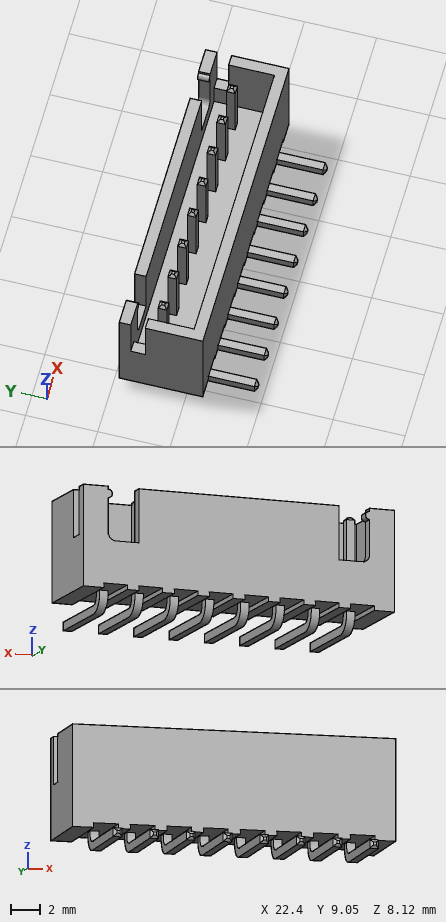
import cadquery as cq

LENGTH = 22.4
DEPTH = 5.8
HEIGHT = 7.0
LONG_WALL = 0.8
END_WALL = 0.78
FLOOR = 2.02
FRONT_Y = 0.0
BACK_Y = FRONT_Y + DEPTH
BACK_WALL_Y = BACK_Y - LONG_WALL

END_SLOT_WIDTH = 1.0
END_SLOT_DEPTH = 3.3

ARM_LENGTH = 1.8
WINDOW_WIDTH = 2.2
WINDOW_DEPTH = 3.72
WINDOW_FILLET = 0.54
BUMP_RADIUS = 0.3
BUMP_DROP = 0.5

PIN_COUNT = 8
PIN_SPAN = 17.79
PITCH = PIN_SPAN / (PIN_COUNT - 1)
PIN = 0.6
PIN_BACK_GAP = 2.46
PIN_Y = BACK_Y - PIN_BACK_GAP
PIN_TOP_DROP = 0.2
PIN_BOTTOM_Z = -1.12
PIN_END_Y = -3.25
BEND_INNER = 0.58
BEND_RADIUS = BEND_INNER + PIN / 2
TIP_CHAMFER = 0.2

NOTCH_WIDTH = 1.7
NOTCH_HEIGHT = 0.31

PIN_XS = [(i - (PIN_COUNT - 1) / 2) * PITCH for i in range(PIN_COUNT)]


def block(x_range, y_range, z_range):
    """Axis-aligned box between the given limits."""
    (x0, x1), (y0, y1), (z0, z1) = x_range, y_range, z_range
    return cq.Workplane("XY").box(x1 - x0, y1 - y0, z1 - z0, centered=False).translate((x0, y0, z0))


def make_shell():
    """Box with the cavity and the two end-wall slots removed."""
    half = LENGTH / 2
    inner = half - END_WALL
    body = block((-half, half), (FRONT_Y, BACK_Y), (0, HEIGHT))
    cavity = block((-inner, inner), (FRONT_Y + LONG_WALL, BACK_WALL_Y), (FLOOR, HEIGHT))
    slots = block(
        (-half, half),
        (BACK_WALL_Y - END_SLOT_WIDTH, BACK_WALL_Y),
        (HEIGHT - END_SLOT_DEPTH, HEIGHT),
    )
    return body.cut(cavity).cut(slots)


def make_left_window():
    """Back-wall opening beside the left arm, rounded at the foot of the arm."""
    arm_x = -LENGTH / 2 + ARM_LENGTH
    window = block(
        (arm_x, arm_x + WINDOW_WIDTH),
        (BACK_WALL_Y, BACK_Y),
        (HEIGHT - WINDOW_DEPTH, HEIGHT),
    )
    return window.edges("<X and <Z").fillet(WINDOW_FILLET)


def make_left_bump():
    """Round rib along the inner side of the left arm, half sunk into it."""
    arm_x = -LENGTH / 2 + ARM_LENGTH
    return (
        cq.Workplane("XZ", origin=(arm_x, BACK_Y, HEIGHT - BUMP_DROP))
        .circle(BUMP_RADIUS)
        .extrude(LONG_WALL)
    )


def make_pin():
    """Square pin at X = 0, from the cavity down through a bend toward -Y."""
    run_z = PIN_BOTTOM_Z + PIN / 2
    path = (
        cq.Workplane("YZ")
        .moveTo(PIN_Y, HEIGHT - PIN_TOP_DROP)
        .lineTo(PIN_Y, run_z + BEND_RADIUS)
        .tangentArcPoint((-BEND_RADIUS, -BEND_RADIUS))
        .lineTo(PIN_END_Y, run_z)
    )
    pin = cq.Workplane("XY", origin=(0, PIN_Y, HEIGHT - PIN_TOP_DROP)).rect(PIN, PIN).sweep(path)
    return pin.faces(">Z or <Y").chamfer(TIP_CHAMFER)


def make_notch():
    """Groove under the housing at X = 0, running the full depth."""
    return block((-NOTCH_WIDTH / 2, NOTCH_WIDTH / 2), (FRONT_Y, BACK_Y), (0, NOTCH_HEIGHT))


left_window = make_left_window()
left_bump = make_left_bump()
result = make_shell().cut(left_window).cut(left_window.mirror("YZ"))
result = result.union(left_bump).union(left_bump.mirror("YZ"))

notch = make_notch()
pin = make_pin()
for x in PIN_XS:
    result = result.cut(notch.translate((x, 0, 0)))
    result = result.union(pin.translate((x, 0, 0)))